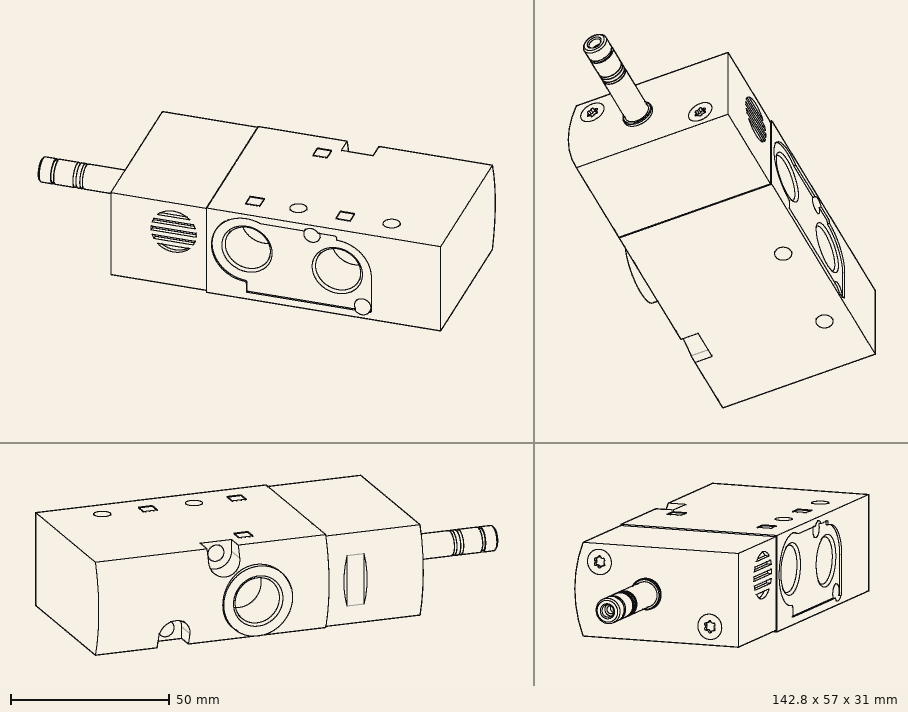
import cadquery as cq
import math


TOTAL_LENGTH = 142.8
TOTAL_DEPTH = 57.0
HEIGHT = 31.0
CAP_START = 33.1
BODY_START = 65.0
CAP_LENGTH = BODY_START - CAP_START
BODY_LENGTH = TOTAL_LENGTH - BODY_START
CAP_INSET = 0.4

CROWN_TOP = 56.1
CROWN_RISE = 3.0
CROWN_RADIUS = ((HEIGHT / 2) ** 2 + CROWN_RISE ** 2) / (2 * CROWN_RISE)

PORT_DIAMETER = 15.0
PORT_CHAMFER = 0.9
PORT_DEPTH = 17.1
PORT_1_X = 108.2
PORT_1_Z = 0.0
PORT_3_X = 78.3
PORT_3_Z = 2.4
PORT_2_X = 89.2
PORT_2_Z = -2.5
PORT_2_BOSS_DIAMETER = 23.3

RECESS_RADIUS = 11.5
RECESS_HALF_HEIGHT = 13.0
RECESS_DEPTH = 0.7
RECESS_CORNER_RADIUS = 0.7

MOUNT_HOLE_DIAMETER = 5.4
FRONT_HOLE_Z = 11.5
FRONT_HOLES = [(99.8, 1), (116.7, -1)]
HEAD_SLOT_WIDTH = 10.5
HEAD_SLOT_DEPTH = 9.0
TOP_HOLE_XS = [92.7, 123.7]
TOP_HOLE_Y = 8.9

LABEL_SIZE = 4.7
LABEL_DEPTH = 0.3
LABEL_2_Y = 43.8
LABEL_CENTERS = [(PORT_3_X, TOP_HOLE_Y), (PORT_1_X, TOP_HOLE_Y), (PORT_2_X, LABEL_2_Y)]

GRILLE_DIAMETER = 15.0
GRILLE_X = 54.0
GRILLE_Z = 4.5
GRILLE_DEPTH = 1.4
BAR_WIDTH = 1.5
BAR_PITCH = 3.0
BAR_COUNT = 4

NOTCH_START = 52.1
NOTCH_END = 60.0
NOTCH_DEPTH = 0.9
NOTCH_ENTRY_RUN = 0.7
NOTCH_EXIT_RUN = 1.4

STEM_Y = 31.7
STEM_DIAMETER = 8.1
STEM_TIP_CHAMFER = 0.5
FLANGE_DIAMETER = 10.0
FLANGE_THICKNESS = 1.1
FLANGE_CHAMFER = 0.3
RETAINING_GROOVE = (4.3, 5.3, 7.1)
SHALLOW_GROOVES = [(11.7, 12.7, 7.9), (14.0, 14.9, 7.9)]
BORE_DIAMETER = 4.0
BORE_DEPTH = 2.9
BORE_MOUTH_DIAMETER = 4.9
SEAT_DIAMETER = 2.5
SEAT_DEPTH = 5.7
PASSAGE_DIAMETER = 0.9
PASSAGE_DEPTH = 8.5

SCREW_DIAMETER = 8.1
SCREW_DEPTH = 4.3
SCREW_CENTERS = [(47.7, 9.1), (10.1, -9.1)]
SOCKET_CORE_DIAMETER = 3.0
SOCKET_LOBE_DIAMETER = 0.9
SOCKET_LOBES = 6
SOCKET_DEPTH = 1.4


def cylinder_x(diameter, start, length, y, z):
    """Cylinder along +X."""
    return cq.Workplane(cq.Solid.makeCylinder(
        diameter / 2, length, cq.Vector(start, y, z), cq.Vector(1, 0, 0)))


def cylinder_y(diameter, x, z, start, length):
    """Cylinder along +Y."""
    return cq.Workplane(cq.Solid.makeCylinder(
        diameter / 2, length, cq.Vector(x, start, z), cq.Vector(0, 1, 0)))


def block(x_range, y_range, z_range):
    """Box between pairs of limits along each axis."""
    low, high = zip(x_range, y_range, z_range)
    sizes = [end - start for start, end in zip(low, high)]
    return cq.Workplane().box(*sizes, centered=False).translate(low)


def crowned_block(start, length, inset):
    """Block with a convex back face, drawn in by `inset` at the front, bottom and top."""
    half_height = HEIGHT / 2 - inset
    drop = CROWN_RADIUS - math.sqrt(CROWN_RADIUS ** 2 - half_height ** 2)
    edge_y = CROWN_TOP - drop
    return (
        cq.Workplane("YZ", origin=(start, 0, 0))
        .moveTo(inset, -half_height)
        .lineTo(edge_y, -half_height)
        .threePointArc((CROWN_TOP, 0), (edge_y, half_height))
        .lineTo(inset, half_height)
        .close()
        .extrude(length)
    )


def gasket_recess():
    """Shallow recess that follows the round seats of both front ports."""
    seat_3 = cylinder_y(2 * RECESS_RADIUS, PORT_3_X, PORT_3_Z, 0, RECESS_DEPTH)
    seat_1 = cylinder_y(2 * RECESS_RADIUS, PORT_1_X, PORT_1_Z, 0, RECESS_DEPTH)
    depth = (0, RECESS_DEPTH)
    middle = block((PORT_3_X, PORT_1_X), depth, (-RECESS_HALF_HEIGHT, RECESS_HALF_HEIGHT))
    corner = block((PORT_1_X, PORT_1_X + RECESS_RADIUS), depth, (-RECESS_HALF_HEIGHT, PORT_1_Z))
    middle = middle.edges("|Y").edges(">X and >Z").fillet(RECESS_CORNER_RADIUS)
    corner = corner.edges("|Y").edges(">X and <Z").fillet(RECESS_CORNER_RADIUS)
    recess = seat_3.union(seat_1).union(middle).union(corner)
    step_below_port_3 = cq.NearestToPointSelector(
        (PORT_3_X, RECESS_DEPTH / 2, PORT_3_Z - RECESS_RADIUS))
    return recess.edges("|Y").edges(step_below_port_3).fillet(RECESS_CORNER_RADIUS)


def port(x, z, face_y, direction):
    """Blind port with a conical mouth, going from `face_y` along +Y (1) or -Y (-1)."""
    radius = PORT_DIAMETER / 2
    axis = cq.Vector(0, direction, 0)
    mouth_center = cq.Vector(x, face_y, z)
    bore = cq.Solid.makeCylinder(radius, PORT_DEPTH, mouth_center, axis)
    mouth = cq.Solid.makeCone(radius + PORT_CHAMFER, radius, PORT_CHAMFER, mouth_center, axis)
    return cq.Workplane(bore).union(cq.Workplane(mouth))


def front_mounting_hole(x, side):
    """Hole along Y with a screw-head slot at the back that opens to the top or bottom face."""
    z = side * FRONT_HOLE_Z
    slot_start = CROWN_TOP - HEAD_SLOT_DEPTH
    slot_length = TOTAL_DEPTH - slot_start
    half_width = HEAD_SLOT_WIDTH / 2
    hole = cylinder_y(MOUNT_HOLE_DIAMETER, x, z, 0, TOTAL_DEPTH)
    slot_end = cylinder_y(HEAD_SLOT_WIDTH, x, z, slot_start, slot_length)
    slot_opening = block(
        (x - half_width, x + half_width),
        (slot_start, TOTAL_DEPTH),
        sorted((z, side * HEIGHT / 2)),
    )
    return hole.union(slot_end).union(slot_opening)


def make_body():
    body = crowned_block(BODY_START, BODY_LENGTH, 0)
    boss_start = CROWN_TOP - CROWN_RISE
    boss_length = TOTAL_DEPTH - boss_start
    body = body.union(
        cylinder_y(PORT_2_BOSS_DIAMETER, PORT_2_X, PORT_2_Z, boss_start, boss_length))

    body = body.cut(gasket_recess())
    body = body.cut(port(PORT_1_X, PORT_1_Z, RECESS_DEPTH, 1))
    body = body.cut(port(PORT_3_X, PORT_3_Z, RECESS_DEPTH, 1))
    body = body.cut(port(PORT_2_X, PORT_2_Z, TOTAL_DEPTH, -1))

    for x, side in FRONT_HOLES:
        body = body.cut(front_mounting_hole(x, side))

    top_holes = (
        cq.Workplane(origin=(0, 0, -HEIGHT / 2))
        .pushPoints([(x, TOP_HOLE_Y) for x in TOP_HOLE_XS])
        .circle(MOUNT_HOLE_DIAMETER / 2)
        .extrude(HEIGHT)
    )
    labels = (
        cq.Workplane(origin=(0, 0, HEIGHT / 2))
        .pushPoints(LABEL_CENTERS)
        .rect(LABEL_SIZE, LABEL_SIZE)
        .extrude(-LABEL_DEPTH)
    )
    return body.cut(top_holes).cut(labels)


def grille_cut():
    """Round pocket in the cap's front face, crossed by flush horizontal bars."""
    pocket = cylinder_y(GRILLE_DIAMETER, GRILLE_X, GRILLE_Z, CAP_INSET, GRILLE_DEPTH)
    radius = GRILLE_DIAMETER / 2
    for index in range(BAR_COUNT):
        bar_z = GRILLE_Z + (index - (BAR_COUNT - 1) / 2) * BAR_PITCH
        bar = block(
            (GRILLE_X - radius, GRILLE_X + radius),
            (CAP_INSET, CAP_INSET + GRILLE_DEPTH),
            (bar_z - BAR_WIDTH / 2, bar_z + BAR_WIDTH / 2),
        )
        pocket = pocket.cut(bar)
    return pocket


def crown_notch():
    """Shallow notch with sloping ends across the crown."""
    floor_y = CROWN_TOP - NOTCH_DEPTH
    outline = [
        (NOTCH_START, CROWN_TOP),
        (NOTCH_START + NOTCH_ENTRY_RUN, floor_y),
        (NOTCH_END - NOTCH_EXIT_RUN, floor_y),
        (NOTCH_END, CROWN_TOP),
    ]
    return cq.Workplane().polyline(outline).close().extrude(HEIGHT / 2, both=True)


def stem_groove(start, end, diameter):
    """Ring that leaves `diameter` at the bottom of a groove around the stem."""
    outer = cylinder_x(STEM_DIAMETER, start, end - start, STEM_Y, 0)
    return outer.cut(cylinder_x(diameter, start, end - start, STEM_Y, 0))


def stem_bore():
    """Stepped blind bore with a conical mouth in the tip of the stem."""
    bore = cylinder_x(BORE_DIAMETER, 0, BORE_DEPTH, STEM_Y, 0)
    seat = cylinder_x(SEAT_DIAMETER, 0, SEAT_DEPTH, STEM_Y, 0)
    passage = cylinder_x(PASSAGE_DIAMETER, 0, PASSAGE_DEPTH, STEM_Y, 0)
    mouth_radius = BORE_MOUTH_DIAMETER / 2
    bore_radius = BORE_DIAMETER / 2
    mouth = cq.Solid.makeCone(
        mouth_radius, bore_radius, mouth_radius - bore_radius,
        cq.Vector(0, STEM_Y, 0), cq.Vector(1, 0, 0))
    return bore.union(seat).union(passage).union(cq.Workplane(mouth))


def make_stem():
    stem = cylinder_x(STEM_DIAMETER, 0, CAP_START, STEM_Y, 0)
    stem = stem.faces("<X").chamfer(STEM_TIP_CHAMFER)
    flange_start = CAP_START - FLANGE_THICKNESS
    flange = cylinder_x(FLANGE_DIAMETER, flange_start, FLANGE_THICKNESS, STEM_Y, 0)
    stem = stem.union(flange.faces("<X").chamfer(FLANGE_CHAMFER))
    for groove in [RETAINING_GROOVE, *SHALLOW_GROOVES]:
        stem = stem.cut(stem_groove(*groove))
    return stem.cut(stem_bore())


def make_cap():
    cap = crowned_block(CAP_START, CAP_LENGTH, CAP_INSET)
    cap = cap.cut(grille_cut()).cut(crown_notch())
    for y, z in SCREW_CENTERS:
        cap = cap.cut(cylinder_x(SCREW_DIAMETER, CAP_START, SCREW_DEPTH, y, z))
    return cap.union(make_stem())


def make_screw(y, z):
    """Screw head flush with the cap's end face, with a six-lobed socket."""
    screw = cylinder_x(SCREW_DIAMETER, CAP_START, SCREW_DEPTH, y, z)
    socket = cylinder_x(SOCKET_CORE_DIAMETER, CAP_START, SOCKET_DEPTH, y, z)
    lobe_radius = SOCKET_CORE_DIAMETER / 2
    for index in range(SOCKET_LOBES):
        angle = 2 * math.pi * index / SOCKET_LOBES
        lobe_y = y + lobe_radius * math.sin(angle)
        lobe_z = z + lobe_radius * math.cos(angle)
        socket = socket.union(
            cylinder_x(SOCKET_LOBE_DIAMETER, CAP_START, SOCKET_DEPTH, lobe_y, lobe_z))
    return screw.cut(socket)


body = make_body()
cap = make_cap()
screws = [make_screw(y, z) for y, z in SCREW_CENTERS]

result = cq.Compound.makeCompound([body.val(), cap.val(), *[screw.val() for screw in screws]])